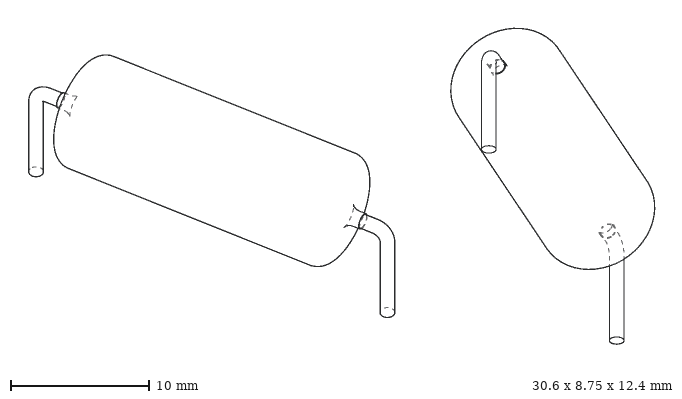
import cadquery as cq
import math

overall_length = 30.57
overall_height = 12.35

case_diameter = 8.75
case_length = 22.25
rim_radius = 1.0
collar_diameter = 1.2
collar_length = 0.55
flare_radius = 1.0

wire_diameter = 1.07
bend_radius = 1.0

case_radius = case_diameter / 2
collar_radius = collar_diameter / 2
case_end = case_length / 2
flare_end = case_end + flare_radius
collar_end = flare_end + collar_length
lead_x = (overall_length - wire_diameter) / 2
lead_bottom = case_radius - overall_height
arc_middle = math.sqrt(0.5)


def make_case():
    """Revolve the profile, from one collar end face to the other, about X."""
    rim_center_x = case_end - rim_radius
    rim_center_z = case_radius - rim_radius
    rim_middle_x = rim_center_x + rim_radius * arc_middle
    rim_middle_z = rim_center_z + rim_radius * arc_middle
    flare_center_z = collar_radius + flare_radius
    flare_middle_x = flare_end - flare_radius * arc_middle
    flare_middle_z = flare_center_z - flare_radius * arc_middle
    profile = (
        cq.Workplane("XZ")
        .moveTo(-collar_end, 0)
        .lineTo(-collar_end, collar_radius)
        .lineTo(-flare_end, collar_radius)
        .threePointArc((-flare_middle_x, flare_middle_z), (-case_end, flare_center_z))
        .lineTo(-case_end, rim_center_z)
        .threePointArc((-rim_middle_x, rim_middle_z), (-rim_center_x, case_radius))
        .lineTo(rim_center_x, case_radius)
        .threePointArc((rim_middle_x, rim_middle_z), (case_end, rim_center_z))
        .lineTo(case_end, flare_center_z)
        .threePointArc((flare_middle_x, flare_middle_z), (flare_end, collar_radius))
        .lineTo(collar_end, collar_radius)
        .lineTo(collar_end, 0)
        .close()
    )
    return profile.revolve(360, (0, 0, 0), (1, 0, 0))


def make_lead(side):
    """Round wire from the collar face, bent down; side is +1 or -1 along X."""
    bend_start_x = lead_x - bend_radius
    bend_middle_x = bend_start_x + bend_radius * arc_middle
    bend_middle_z = bend_radius * (arc_middle - 1)
    path = (
        cq.Workplane("XZ")
        .moveTo(side * collar_end, 0)
        .lineTo(side * bend_start_x, 0)
        .threePointArc((side * bend_middle_x, bend_middle_z), (side * lead_x, -bend_radius))
        .lineTo(side * lead_x, lead_bottom)
    )
    section = cq.Workplane("YZ", origin=(side * collar_end, 0, 0)).circle(wire_diameter / 2)
    return section.sweep(path)


case = make_case()
leads = [make_lead(side) for side in (-1, 1)]

result = cq.Compound.makeCompound([case.val(), *[lead.val() for lead in leads]])